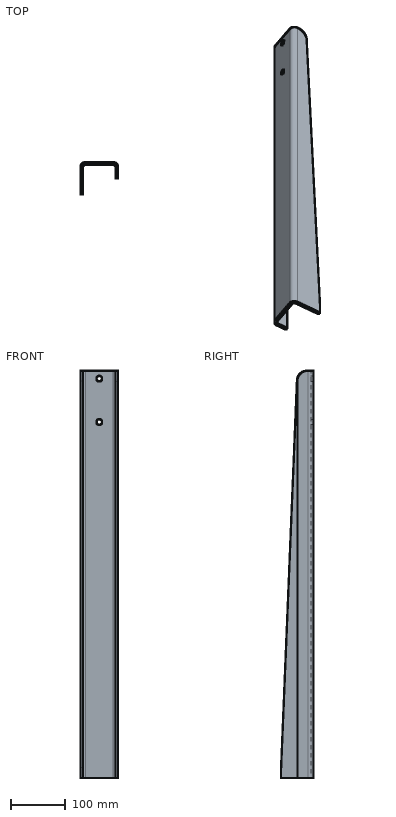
import cadquery as cq

WIDTH = 70.0
HEIGHT = 752.0
THICKNESS = 5.0
INNER_BEND_RADIUS = 5.0
OUTER_BEND_RADIUS = INNER_BEND_RADIUS + THICKNESS

DEEP_FLANGE_DEPTH = 60.0
SHALLOW_FLANGE_DEPTH = 30.0
FOOT_HEIGHT = 20.0
CORNER_RADIUS = 20.0

HOLE_DIAMETER = 10.0
TOP_HOLE_DROP = 15.0
HOLE_PITCH = 80.0


def channel_prism(width, front_y, back_y, bend_radius):
    """Upright full-height block with its two rear edges rounded."""
    depth = back_y - front_y
    block = cq.Workplane("XY").box(width, depth, HEIGHT, centered=(True, False, False))
    return block.translate((0, front_y, 0)).edges("|Z and >Y").fillet(bend_radius)


def bent_sheet():
    """U-shaped channel, open toward -Y, with its back face on Y = 0."""
    outside = channel_prism(WIDTH, -DEEP_FLANGE_DEPTH, 0, OUTER_BEND_RADIUS)
    inside = channel_prism(
        WIDTH - 2 * THICKNESS, -DEEP_FLANGE_DEPTH, -THICKNESS, INNER_BEND_RADIUS
    )
    return outside.cut(inside)


def side_profile(foot_depth, x_start):
    """Half-width block, full depth at the foot, tapering to a rounded top corner."""
    outline = [
        (0, 0),
        (-foot_depth, 0),
        (-foot_depth, FOOT_HEIGHT),
        (-SHALLOW_FLANGE_DEPTH, HEIGHT),
        (0, HEIGHT),
    ]
    block = cq.Workplane("YZ", origin=(x_start, 0, 0)).polyline(outline).close().extrude(WIDTH / 2)
    return block.faces(">Z").edges("<Y").fillet(CORNER_RADIUS)


def mounting_holes():
    """Pins that cut the two holes through the web along Y."""
    top_hole_z = HEIGHT - TOP_HOLE_DROP
    return (
        cq.Workplane("XZ")
        .pushPoints([(0, top_hole_z), (0, top_hole_z - HOLE_PITCH)])
        .circle(HOLE_DIAMETER / 2)
        .extrude(THICKNESS)
    )


deep_side = side_profile(DEEP_FLANGE_DEPTH, -WIDTH / 2)
shallow_side = side_profile(SHALLOW_FLANGE_DEPTH, 0)
result = bent_sheet().intersect(deep_side.union(shallow_side)).cut(mounting_holes())